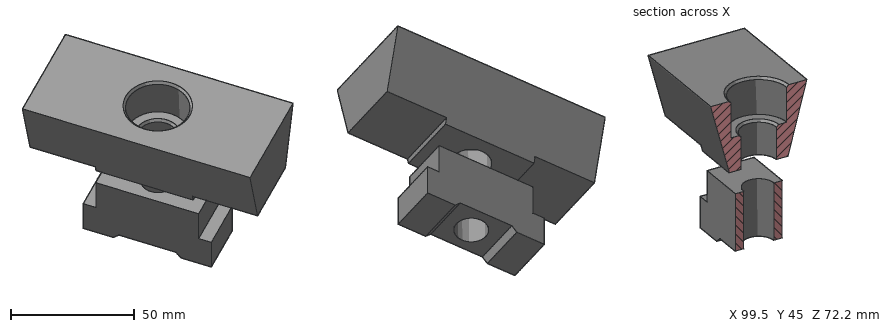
import cadquery as cq
import math

jaw_length = 99.5
jaw_width = 45.0
jaw_height = 30.0
rim_height = 0.6
side_angle = 15.0
tab_length = 42.5
tab_height = 3.0

counterbore_diameter = 26.0
counterbore_depth = 17.0
jaw_hole_diameter = 16.5
edge_chamfer = 1.0

nut_base_length = 56.0
nut_neck_length = 45.0
nut_width = 22.0
nut_height = 29.0
nut_base_height = nut_height / 2
nut_hole_diameter = 14.0
relief_mouth = 29.6
relief_depth = 2.4

total_height = 72.2
jaw_full_height = jaw_height + tab_height
tab_bottom = total_height - jaw_full_height


def chamfered_hole(diameter, bottom, top):
    """Cutter for a vertical hole whose upper edge is chamfered."""
    radius = diameter / 2
    profile = [
        (0, bottom),
        (radius, bottom),
        (radius, top - edge_chamfer),
        (radius + edge_chamfer, top),
        (0, top),
    ]
    return cq.Workplane("XZ").polyline(profile).close().revolve(360, (0, 0), (0, 1))


def make_jaw():
    """Tapered bar, stepped down to a central tab, with a counterbored hole."""
    half_top = jaw_width / 2
    rim_bottom = total_height - rim_height
    half_bottom = half_top - (rim_bottom - tab_bottom) * math.tan(math.radians(side_angle))
    section = [
        (-half_bottom, tab_bottom),
        (half_bottom, tab_bottom),
        (half_top, rim_bottom),
        (half_top, total_height),
        (-half_top, total_height),
        (-half_top, rim_bottom),
    ]
    bar = cq.Workplane("YZ").polyline(section).close().extrude(jaw_length / 2, both=True)

    end_length = (jaw_length - tab_length) / 2
    for side in (-1, 1):
        end_cut = cq.Workplane("XY").box(end_length, jaw_width, tab_height, centered=(True, True, False))
        bar = bar.cut(end_cut.translate((side * (tab_length + end_length) / 2, 0, tab_bottom)))

    counterbore_floor = total_height - counterbore_depth
    bar = bar.cut(chamfered_hole(counterbore_diameter, counterbore_floor, total_height))
    return bar.cut(chamfered_hole(jaw_hole_diameter, tab_bottom, counterbore_floor))


def make_nut():
    """Wide base, narrower neck, 45 degree relief underneath and a through hole."""
    half_base = nut_base_length / 2
    half_neck = nut_neck_length / 2
    half_mouth = relief_mouth / 2
    half_roof = half_mouth - relief_depth
    outline = [
        (-half_base, 0),
        (-half_mouth, 0),
        (-half_roof, relief_depth),
        (half_roof, relief_depth),
        (half_mouth, 0),
        (half_base, 0),
        (half_base, nut_base_height),
        (half_neck, nut_base_height),
        (half_neck, nut_height),
        (-half_neck, nut_height),
        (-half_neck, nut_base_height),
        (-half_base, nut_base_height),
    ]
    block = cq.Workplane("XZ").polyline(outline).close().extrude(nut_width / 2, both=True)
    hole = cq.Workplane("XY").circle(nut_hole_diameter / 2).extrude(nut_height)
    return block.cut(hole)


jaw = make_jaw()
nut = make_nut()

result = cq.Compound.makeCompound([jaw.val(), nut.val()])